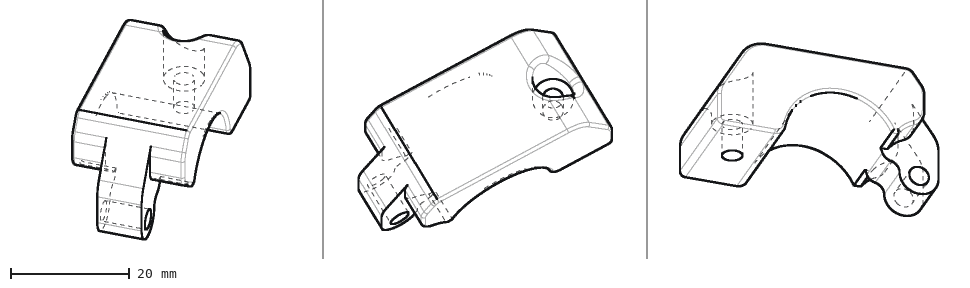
import cadquery as cq
import math


body_width = 20.0
body_height = 17.0
back_y = 22.0
front_y = -15.0
bore_radius = 10.0
end_fillet = 0.55
bore_corner_radius = 2.0
bottom_corner_radius = 1.0

back_slope_angle = 60.0
back_slope_bottom_z = 6.97
back_slope_radius = 5.0

front_slope_angle = 55.0
front_slope_bottom_z = 13.45
front_corner_radius = 3.0
shoulder_z = 16.2
roof_front_y = -11.9
tip_z = 4.1

lug_width = 7.9
lug_radius = 3.5
lug_y = -16.0
lug_corner_radius = 5.0
pin_radius = 1.75
hinge_clearance_radius = 7.0
lug_root_radius = 2.0

screw_y = 16.0
screw_radius = 1.75
counterbore_radius = 3.5
counterbore_floor_z = 6.0
counterbore_fillet = 1.0

selection_margin = 0.05


def front_slope_z(y):
    """Height of the front slope at a given Y."""
    return front_slope_bottom_z + (y - front_y) * math.tan(math.radians(front_slope_angle))


def front_slope_y(z):
    """Y of the front slope at a given height."""
    return front_y + (z - front_slope_bottom_z) / math.tan(math.radians(front_slope_angle))


def extrude_across(outline, width):
    """Extrude a closed YZ outline along X, centred on X = 0."""
    return outline.close().extrude(width / 2, both=True)


def bar_along_x(y, radius):
    """Cylinder along X at Z = 0, as long as the body is wide."""
    return cq.Workplane("YZ").center(y, 0).circle(radius).extrude(body_width / 2, both=True)


def round_corner(solid, y, z, radius):
    """Fillet the edge along X that passes through (y, z)."""
    edge = solid.edges("|X").edges(cq.selectors.NearestToPointSelector((0, y, z)))
    return edge.fillet(radius)


shoulder = (front_slope_y(shoulder_z), shoulder_z)


def make_body():
    back_slope_rise = body_height - back_slope_bottom_z
    back_slope_top_y = back_y - back_slope_rise / math.tan(math.radians(back_slope_angle))
    outline = (
        cq.Workplane("YZ")
        .moveTo(front_y, front_slope_bottom_z)
        .lineTo(*shoulder)
        .tangentArcPoint((roof_front_y, body_height), relative=False)
        .lineTo(back_slope_top_y, body_height)
        .lineTo(back_y, back_slope_bottom_z)
        .lineTo(back_y, 0)
        .lineTo(0, 0)
        .lineTo(0, tip_z)
        .lineTo(front_y, tip_z)
    )
    body = extrude_across(outline, body_width)
    body = body.cut(bar_along_x(0, bore_radius))
    body = body.cut(bar_along_x(lug_y, hinge_clearance_radius))

    clearance_top_z = math.sqrt(hinge_clearance_radius**2 - (front_y - lug_y) ** 2)
    body = round_corner(body, back_slope_top_y, body_height, back_slope_radius)
    body = round_corner(body, back_y, back_slope_bottom_z, back_slope_radius)
    body = round_corner(body, back_y, 0, bottom_corner_radius)
    body = round_corner(body, bore_radius, 0, bore_corner_radius)
    body = round_corner(body, front_y, front_slope_bottom_z, front_corner_radius)
    body = round_corner(body, front_y, clearance_top_z, front_corner_radius)
    return body.faces("<X or >X").edges().fillet(end_fillet)


def make_lug():
    lug_front_y = lug_y - lug_radius
    lug_inner_y = lug_y + lug_radius

    hollow_y = lug_inner_y + lug_root_radius
    heel_reach = bore_radius + lug_root_radius
    heel_y = (heel_reach**2 - (2 * lug_root_radius) ** 2 + hollow_y**2) / (2 * hollow_y)
    heel_z = math.sqrt(heel_reach**2 - heel_y**2)
    hollow_end = ((hollow_y + heel_y) / 2, heel_z / 2)
    heel_end = (heel_y * bore_radius / heel_reach, heel_z * bore_radius / heel_reach)

    outline = (
        cq.Workplane("YZ")
        .moveTo(*shoulder)
        .lineTo(lug_front_y, front_slope_z(lug_front_y))
        .lineTo(lug_front_y, 0)
        .tangentArcPoint((lug_inner_y, 0), relative=False)
        .tangentArcPoint(hollow_end, relative=False)
        .tangentArcPoint(heel_end, relative=False)
        .tangentArcPoint((0, bore_radius), relative=False)
    )
    lug = extrude_across(outline, lug_width)
    return round_corner(lug, lug_front_y, front_slope_z(lug_front_y), lug_corner_radius)


def cylinder_up(radius, bottom_z):
    """Upright cylinder at the screw position, rising to the top of the body."""
    base = cq.Workplane("XY", origin=(0, screw_y, bottom_z))
    return base.circle(radius).extrude(body_height - bottom_z)


def cut_screw_hole(part):
    part = part.cut(cylinder_up(counterbore_radius, counterbore_floor_z))
    reach = counterbore_radius + selection_margin
    mouth = cq.selectors.BoxSelector(
        (-reach, screw_y - reach, back_slope_bottom_z),
        (reach, screw_y + reach, body_height + selection_margin),
        boundingbox=True,
    )
    rim = part.edges(mouth).edges("not |Z")
    part = rim.fillet(counterbore_fillet)
    return part.cut(cylinder_up(screw_radius, 0))


result = make_body().union(make_lug()).cut(bar_along_x(lug_y, pin_radius))
result = cut_screw_hole(result)